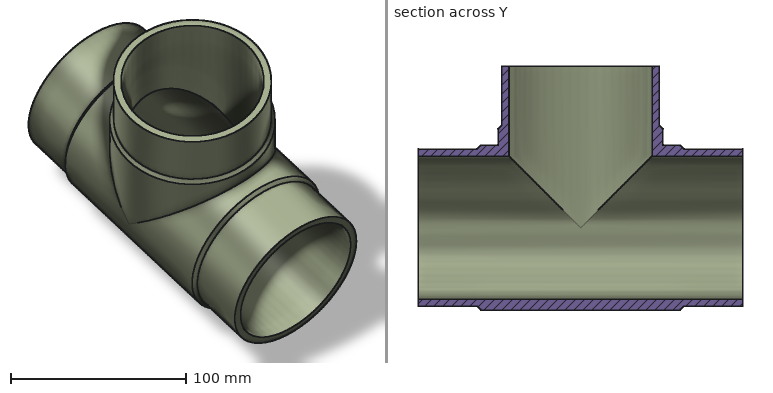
import cadquery as cq

RUN_LENGTH = 185.0
BRANCH_HEIGHT = 92.0
BORE_DIAMETER = 81.4
SPIGOT_DIAMETER = 90.0
BODY_DIAMETER = 94.3
SPIGOT_LENGTH = 33.5

BODY_LENGTH = RUN_LENGTH - 2 * SPIGOT_LENGTH
BODY_BRANCH_HEIGHT = BRANCH_HEIGHT - SPIGOT_LENGTH
SHOULDER_CHAMFER = (BODY_DIAMETER - SPIGOT_DIAMETER) / 2


def run_cylinder(diameter, length):
    """Cylinder along X, centred on the origin."""
    return cq.Workplane("YZ", origin=(-length / 2, 0, 0)).circle(diameter / 2).extrude(length)


def branch_cylinder(diameter, height):
    """Cylinder along Z, rising from the run axis."""
    return cq.Workplane("XY").circle(diameter / 2).extrude(height)


def thick_body():
    """Thick-walled tee whose three shoulders are chamfered down to the spigots."""
    run = run_cylinder(BODY_DIAMETER, BODY_LENGTH).faces("<X or >X").chamfer(SHOULDER_CHAMFER)
    branch = branch_cylinder(BODY_DIAMETER, BODY_BRANCH_HEIGHT).faces(">Z").chamfer(SHOULDER_CHAMFER)
    return run.union(branch)


def spigots():
    """Plain pipe ends of the run and the branch."""
    run = run_cylinder(SPIGOT_DIAMETER, RUN_LENGTH)
    return run.union(branch_cylinder(SPIGOT_DIAMETER, BRANCH_HEIGHT))


def bores():
    """Through bore of the run, joined by the bore of the branch."""
    run = run_cylinder(BORE_DIAMETER, RUN_LENGTH)
    return run.union(branch_cylinder(BORE_DIAMETER, BRANCH_HEIGHT))


result = thick_body().union(spigots()).cut(bores())